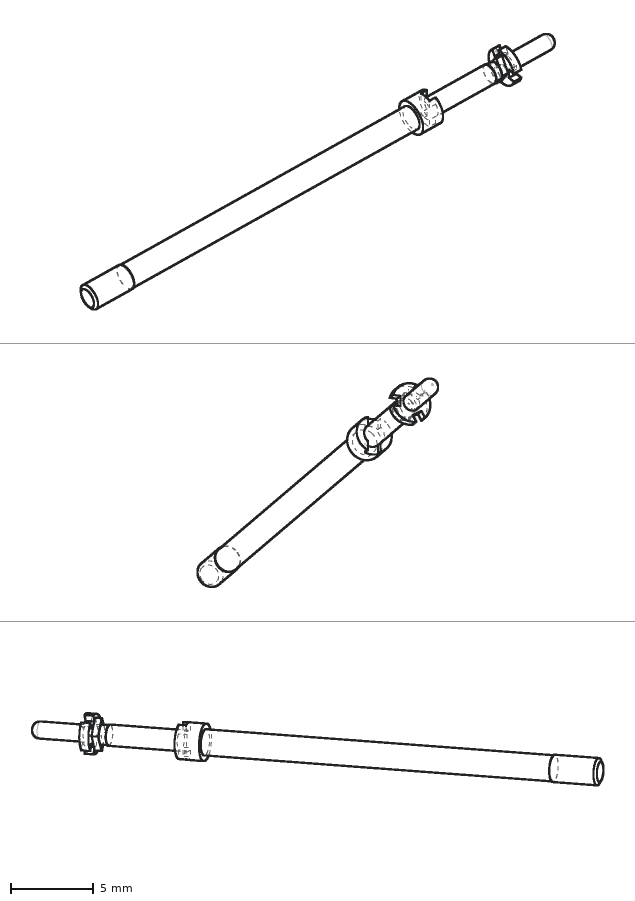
import cadquery as cq
import math

total_length = 36.5
tail_y = -total_length / 2
tip_y = total_length / 2

barrel_start_y = -15.25
collar_start_y = 7.15
collar_end_y = 8.72
plunger_end_y = 13.32
key_start_y = 13.8
flange_start_y = 14.25
flange_end_y = 14.82

tail_diameter = 1.68
barrel_diameter = 1.6
collar_diameter = 2.3
plunger_diameter = 1.3
neck_diameter = 1.25
flange_diameter = 2.5
pin_diameter = 1.05

tip_fillet = 0.47
tail_chamfer_length = 0.15
tail_chamfer_depth = 0.22

slot_width = 0.85
slot_length = 0.47

notch_count = 3
notch_width = 0.65
notch_floor = 0.73
notch_depth = flange_diameter / 2 - notch_floor

key_width = 1.28
key_corner_angle = 60
key_height = key_width / math.tan(math.radians(key_corner_angle / 2))
key_tip_diameter = 2.05


def section(diameter, start_y, end_y):
    """Round section of the pin between two stations on the Y axis."""
    plane = cq.Workplane("XZ", origin=(0, start_y, 0))
    return plane.circle(diameter / 2).extrude(start_y - end_y)


def make_collar():
    """Collar with one slot across its front edge, cut at the top and bottom."""
    body = section(collar_diameter, collar_start_y, collar_end_y)
    slot = cq.Workplane("XY").box(slot_width, slot_length, collar_diameter)
    return body.cut(slot.translate((0, collar_end_y - slot_length / 2, 0)))


def make_flange():
    """Disc with evenly spaced notches, the first one facing +X."""
    body = section(flange_diameter, flange_start_y, flange_end_y)
    thickness = flange_end_y - flange_start_y
    notch = cq.Workplane("XY").box(notch_depth, thickness, notch_width)
    notch = notch.translate((notch_floor + notch_depth / 2, flange_start_y + thickness / 2, 0))
    for i in range(notch_count):
        body = body.cut(notch.rotate((0, 0, 0), (0, 1, 0), i * 360 / notch_count))
    return body


def make_key():
    """Diamond-shaped plate joining the neck to the flange, its tips trimmed round."""
    points = [(key_width / 2, 0), (0, key_height / 2), (-key_width / 2, 0), (0, -key_height / 2)]
    plane = cq.Workplane("XZ", origin=(0, key_start_y, 0))
    diamond = plane.polyline(points).close().extrude(key_start_y - flange_start_y)
    return diamond.intersect(section(key_tip_diameter, key_start_y, flange_start_y))


tail = section(tail_diameter, tail_y, barrel_start_y)
tail = tail.faces("<Y").edges().chamfer(tail_chamfer_length, tail_chamfer_depth)
barrel = section(barrel_diameter, barrel_start_y, collar_start_y)
collar = make_collar()
plunger = section(plunger_diameter, collar_start_y, plunger_end_y)
neck = section(neck_diameter, plunger_end_y, key_start_y)
key = make_key()
flange = make_flange()
pin = section(pin_diameter, flange_start_y, tip_y)
pin = pin.faces(">Y").edges().fillet(tip_fillet)

result = tail.union(barrel).union(collar).union(plunger).union(neck).union(key).union(flange).union(pin)